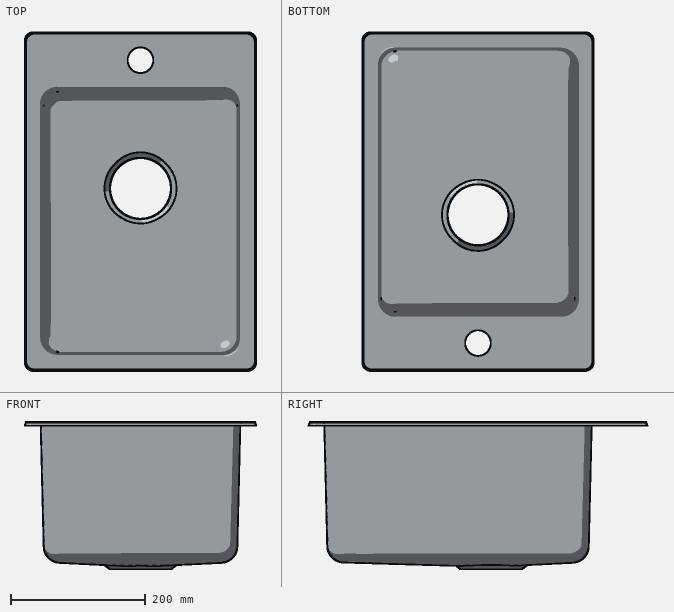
import cadquery as cq
import math

sheet = 1.0
rim_width = 346.0
rim_length = 506
rim_height = 6.0
rim_corner_radius = 14.0
rim_edge_slope = 2.0

total_height = 220.0
bowl_width = 298.5
bowl_length = 399.5
bowl_center_y = -30.0
bowl_taper = 1.4
bowl_radius = 25.5
mouth_radius = 4.0

drain_y = 19.5
floor_edge_z = -210.5
floor_edge_x = 122.0
floor_back_y = 140.0
floor_front_y = -185.0
floor_fall = 6.0

drain_top_radius = 53.0
drain_hole_radius = 45.0
drain_depth = 6.5
tap_hole_diameter = 38.0
tap_hole_y = 211.0


def rim_block(inset):
    """Rounded block with sloping edges, set in from the rim surface."""
    slope_angle = math.degrees(math.atan(rim_edge_slope / rim_height))
    return (
        cq.Workplane("XY", origin=(0, 0, -rim_height))
        .sketch()
        .rect(rim_width - 2 * inset, rim_length - 2 * inset)
        .vertices()
        .fillet(rim_corner_radius - inset)
        .finalize()
        .extrude(rim_height - inset, taper=slope_angle)
    )


def space_above_floor(plane, low, edge):
    """Prism above one tilted floor plane, given where it is lowest and where it ends."""
    slope = floor_fall / (edge - low)
    left = -rim_length / 2
    right = rim_length / 2
    floor_low_z = floor_edge_z - floor_fall
    left_z = floor_low_z + slope * (left - low)
    right_z = floor_low_z + slope * (right - low)
    outline = [(left, 0), (left, left_z), (right, right_z), (right, 0)]
    return cq.Workplane(plane).polyline(outline).close().extrude(rim_length / 2, both=True)


def bowl_block(inset):
    """Rounded, tapered block with a four-plane floor, set in from the outer surface."""
    floor_planes = [
        ("YZ", drain_y, floor_front_y),
        ("YZ", drain_y, floor_back_y),
        ("XZ", 0, floor_edge_x),
        ("XZ", 0, -floor_edge_x),
    ]
    blank_depth = 1.5 * total_height
    blank = (
        cq.Workplane("XY", origin=(0, bowl_center_y, 0))
        .rect(bowl_width - 2 * inset, bowl_length - 2 * inset)
        .extrude(-blank_depth, taper=bowl_taper)
    )
    blocks = []
    for plane, low, edge in floor_planes:
        space = space_above_floor(plane, low, edge).translate((0, 0, inset))
        block = blank.intersect(space)
        blocks.append(block.edges("not >Z").fillet(bowl_radius - inset))
    front, back, right, left = blocks
    return front.intersect(back).intersect(right.intersect(left))


def drain_cone(wall):
    """Cone rising from the drain outlet to just above the floor."""
    slope = (drain_top_radius - drain_hole_radius) / drain_depth
    height = 1.5 * drain_depth
    outlet_radius = drain_hole_radius + wall
    outlet = cq.Vector(0, drain_y, -total_height)
    cone = cq.Solid.makeCone(outlet_radius, outlet_radius + slope * height, height, pnt=outlet)
    return cq.Workplane(cone)


def bowl_edges_at(z):
    """Selector for the bowl outline at height z, leaving out the rim's own edges."""
    edge_margin = 10
    half_width = rim_width / 2 - edge_margin
    half_length = rim_length / 2 - edge_margin
    slack = 0.05
    return cq.selectors.BoxSelector(
        (-half_width, -half_length, z - slack),
        (half_width, half_length, z + slack),
        boundingbox=True,
    )


shell = rim_block(0).cut(rim_block(sheet)).union(bowl_block(0))
shell = shell.edges(bowl_edges_at(-sheet)).fillet(mouth_radius - sheet)

shell = shell.union(drain_cone(sheet)).cut(bowl_block(sheet))
shell = shell.edges(bowl_edges_at(0)).fillet(mouth_radius)

tap_hole = (
    cq.Workplane("XY", origin=(0, tap_hole_y, -rim_height))
    .circle(tap_hole_diameter / 2)
    .extrude(rim_height)
)
result = shell.cut(drain_cone(0)).cut(tap_hole)